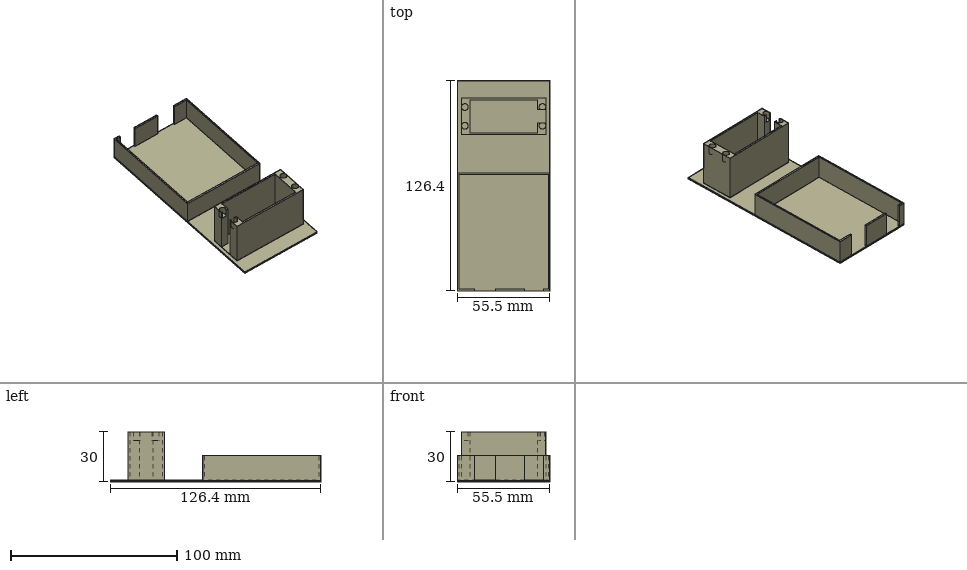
import cadquery as cq

BASE_WIDTH = 55.5
BASE_LENGTH = 126.4
BASE_THICKNESS = 1.0
TOTAL_HEIGHT = 30.0

FLOOR_THICKNESS = 0.1
SEAT_Z = BASE_THICKNESS - FLOOR_THICKNESS

TRAY_LENGTH = 71.0
TRAY_HEIGHT = 15.9
TRAY_SIDE_WALL = 0.9
TRAY_END_WALL = 1.1
LEFT_LIP_END = 10.1
CENTER_TAB_START = 22.9
CENTER_TAB_END = 40.3
RIGHT_LIP_START = 51.6

HOLDER_WIDTH = 50.8
HOLDER_DEPTH = 22.0
HOLDER_REAR_GAP = 10.5
HOLDER_LONG_WALL = 1.1
HOLDER_END_WALL = 5.0
SLOT_WIDTH = 8.1

SCREW_DIAMETER = 4.0
SCREW_DEPTH = 5.0
SCREW_SPACING_Y = 11.2
SCREW_EDGE_GAP = 0.06

HOLDER_CENTER_X = BASE_WIDTH / 2
HOLDER_CENTER_Y = BASE_LENGTH - HOLDER_REAR_GAP - HOLDER_DEPTH / 2


def block(x_start, x_end, y_start, y_end, z_start, z_end):
    """Axis-aligned block between two opposite corners."""
    size = (x_end - x_start, y_end - y_start, z_end - z_start)
    return cq.Workplane("XY").box(*size, centered=False).translate((x_start, y_start, z_start))


def make_holder_body():
    """Solid envelope of the holder, seated in its recess in the base."""
    return block(
        HOLDER_CENTER_X - HOLDER_WIDTH / 2, HOLDER_CENTER_X + HOLDER_WIDTH / 2,
        HOLDER_CENTER_Y - HOLDER_DEPTH / 2, HOLDER_CENTER_Y + HOLDER_DEPTH / 2,
        SEAT_Z, TOTAL_HEIGHT,
    )


def make_holder():
    """Open-topped holder with a thin floor, slotted through its +X end wall."""
    height = TOTAL_HEIGHT - BASE_THICKNESS
    cavity_width = HOLDER_WIDTH - 2 * HOLDER_END_WALL
    cavity_depth = HOLDER_DEPTH - 2 * HOLDER_LONG_WALL
    floor = cq.Workplane("XY", origin=(HOLDER_CENTER_X, HOLDER_CENTER_Y, BASE_THICKNESS))
    cavity = floor.box(cavity_width, cavity_depth, height, centered=(True, True, False))
    slot = floor.box(HOLDER_WIDTH / 2, SLOT_WIDTH, height, centered=(False, True, False))
    screw_spacing_x = HOLDER_WIDTH - SCREW_DIAMETER - 2 * SCREW_EDGE_GAP
    screws = (
        floor.workplane(offset=height - SCREW_DEPTH)
        .rarray(screw_spacing_x, SCREW_SPACING_Y, 2, 2)
        .circle(SCREW_DIAMETER / 2)
        .extrude(SCREW_DEPTH)
    )
    return make_holder_body().cut(cavity).cut(slot).cut(screws)


def make_tray_body():
    """Solid envelope of the tray, seated in its recess in the base."""
    return block(0, BASE_WIDTH, 0, TRAY_LENGTH, SEAT_Z, TRAY_HEIGHT)


def make_tray():
    """Tray with a thin floor and two openings in its front wall."""
    z_range = (BASE_THICKNESS, TRAY_HEIGHT)
    tray = make_tray_body().cut(block(
        TRAY_SIDE_WALL, BASE_WIDTH - TRAY_SIDE_WALL,
        TRAY_END_WALL, TRAY_LENGTH - TRAY_END_WALL, *z_range,
    ))
    openings = [(LEFT_LIP_END, CENTER_TAB_START), (CENTER_TAB_END, RIGHT_LIP_START)]
    for x_start, x_end in openings:
        tray = tray.cut(block(x_start, x_end, 0, TRAY_END_WALL, *z_range))
    return tray


def make_base():
    """Thin base plate with shallow recesses for the tray and the holder."""
    plate = block(0, BASE_WIDTH, 0, BASE_LENGTH, 0, BASE_THICKNESS)
    return plate.cut(make_tray_body()).cut(make_holder_body())


base = make_base()
tray = make_tray()
holder = make_holder()
result = cq.Compound.makeCompound([base.val(), tray.val(), holder.val()])